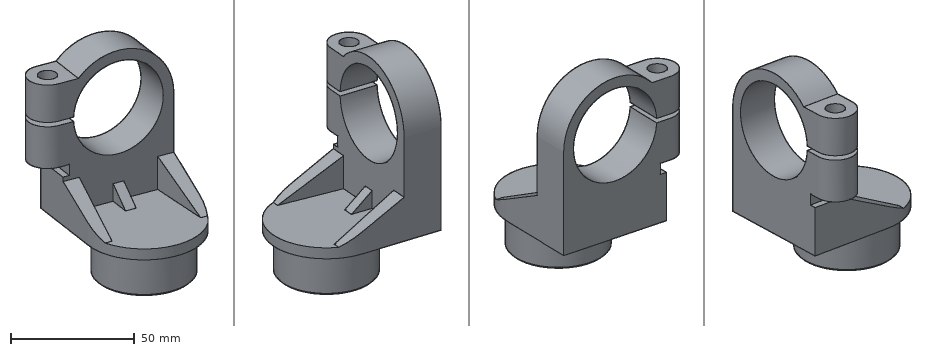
import cadquery as cq

plate_thickness = 18.0
body_width = 52.0
half_width = body_width / 2
ring_radius = half_width
ring_wall = 5.0
bore_radius = ring_radius - ring_wall
bore_height = 47.0

lug_radius = plate_thickness / 2
lug_center_x = plate_thickness / 2
lug_center_y = -28.0
lug_bottom = 27.0
lug_top = 65.0
split_gap = 2.0
clearance_diameter = 8.2
tapped_diameter = 6.65

notch_height = 5.0
notch_depth = 3.0

flange_center_x = 38.5
flange_thickness = 5.0
spigot_diameter = 43.0
spigot_length = 19.0
spigot_chamfer = 1.0

rib_end_x = 48.5
rib_height = 15.0
rib_inner_y_at_plate = 18.4
rib_inner_y_at_end = 20.75
gusset_width = 5.0
gusset_length = 10.0
gusset_height = 8.0


def flange_prism(height):
    """Plan outline of the base, straight at X = 0 and round at the far end."""
    return (
        cq.Workplane("XY")
        .moveTo(0, -half_width)
        .lineTo(flange_center_x, -half_width)
        .threePointArc((flange_center_x + half_width, 0), (flange_center_x, half_width))
        .lineTo(0, half_width)
        .close()
        .extrude(height)
    )


def clamp_plate():
    """Upright plate with a round top concentric with the bore."""
    return (
        cq.Workplane("YZ")
        .moveTo(-half_width, 0)
        .lineTo(half_width, 0)
        .lineTo(half_width, bore_height)
        .threePointArc((0, bore_height + ring_radius), (-half_width, bore_height))
        .close()
        .extrude(plate_thickness)
    )


def clamp_lug():
    """Round-ended block reaching from the bore axis out to the screw."""
    return (
        cq.Workplane("XY", origin=(0, 0, lug_bottom))
        .lineTo(0, lug_center_y)
        .threePointArc((lug_center_x, lug_center_y - lug_radius), (plate_thickness, lug_center_y))
        .lineTo(plate_thickness, 0)
        .close()
        .extrude(lug_top - lug_bottom)
    )


def wedge(length, height, width):
    """Triangular wedge on the flange, tall at the plate, centered on Y = 0."""
    return (
        cq.Workplane("XZ", origin=(plate_thickness, width / 2, flange_thickness))
        .lineTo(length, 0)
        .lineTo(0, height)
        .close()
        .extrude(width)
    )


def side_ribs():
    """Pair of sloped ribs left after clearing a tapered space between them."""
    full_wedge = wedge(rib_end_x - plate_thickness, rib_height, body_width)
    clearing = (
        cq.Workplane("XY")
        .polyline([
            (plate_thickness, -rib_inner_y_at_plate),
            (rib_end_x, -rib_inner_y_at_end),
            (rib_end_x, rib_inner_y_at_end),
            (plate_thickness, rib_inner_y_at_plate),
        ])
        .close()
        .extrude(flange_thickness + rib_height)
    )
    trimmed_to_flange = full_wedge.intersect(flange_prism(flange_thickness + rib_height))
    return trimmed_to_flange.cut(clearing)


def spigot():
    """Solid locating spigot with a chamfered lower edge."""
    return (
        cq.Workplane("XY")
        .center(flange_center_x, 0)
        .circle(spigot_diameter / 2)
        .extrude(-spigot_length)
        .faces("<Z")
        .chamfer(spigot_chamfer)
    )


def bore():
    """Bore through the plate, with its seam line placed inside the split."""
    plane = cq.Plane(origin=(0, 0, bore_height), xDir=(0, -1, 0), normal=(1, 0, 0))
    return cq.Workplane(plane).circle(bore_radius).extrude(plate_thickness)


def split():
    """Slot from the bore axis out through the end of the lug."""
    length = lug_radius - lug_center_y
    return (
        cq.Workplane("XY", origin=(0, 0, bore_height))
        .box(plate_thickness, length, split_gap, centered=(False, False, True))
        .translate((0, -length, 0))
    )


def notch():
    """Relief cut through the plate edge directly below the lug."""
    return (
        cq.Workplane("XY", origin=(0, -half_width, lug_bottom - notch_height))
        .box(plate_thickness, notch_depth, notch_height, centered=False)
    )


def lug_hole(diameter, bottom, top):
    """Vertical screw hole on the lug axis between two heights."""
    return (
        cq.Workplane("XY", origin=(lug_center_x, lug_center_y, bottom))
        .circle(diameter / 2)
        .extrude(top - bottom)
    )


result = (
    clamp_plate()
    .union(flange_prism(flange_thickness))
    .union(clamp_lug())
    .union(side_ribs())
    .union(wedge(gusset_length, gusset_height, gusset_width))
    .union(spigot())
    .cut(bore())
    .cut(split())
    .cut(notch())
    .cut(lug_hole(clearance_diameter, bore_height, lug_top))
    .cut(lug_hole(tapped_diameter, lug_bottom, bore_height))
)